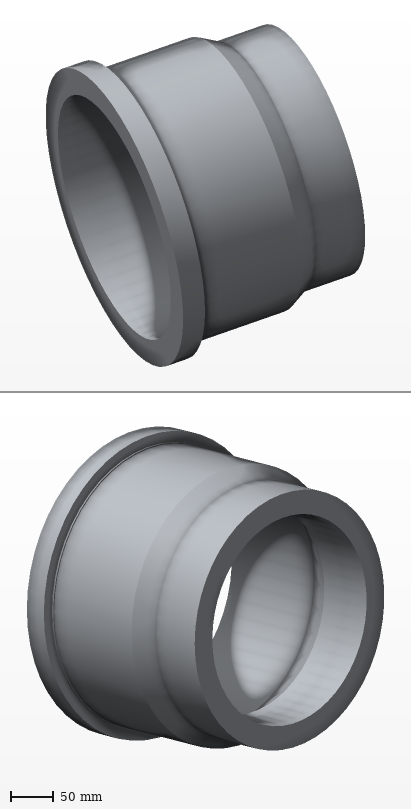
import math

import cadquery as cq

flange_diameter = 375.0
collar_diameter = 348.0
body_diameter = 345.0
spigot_diameter = 315.8
socket_bore = 307.5
spigot_bore = 257.0

total_length = 255.0
flange_thickness = 29.0
collar_width = 2.2
spigot_length = 65.5
outer_taper_length = 26.5
socket_depth = 139.0
bore_taper_angle = 30.0

collar_end = flange_thickness + collar_width
outer_taper_end = total_length - spigot_length
outer_taper_start = outer_taper_end - outer_taper_length
bore_step = (socket_bore - spigot_bore) / 2
bore_taper_end = socket_depth + bore_step / math.tan(math.radians(bore_taper_angle))

half_section = [
    (flange_diameter / 2, 0),
    (flange_diameter / 2, flange_thickness),
    (collar_diameter / 2, flange_thickness),
    (collar_diameter / 2, collar_end),
    (body_diameter / 2, collar_end),
    (body_diameter / 2, outer_taper_start),
    (spigot_diameter / 2, outer_taper_end),
    (spigot_diameter / 2, total_length),
    (spigot_bore / 2, total_length),
    (spigot_bore / 2, bore_taper_end),
    (socket_bore / 2, socket_depth),
    (socket_bore / 2, 0),
]

result = cq.Workplane("XY").polyline(half_section).close().revolve(360, (0, 0, 0), (0, 1, 0))